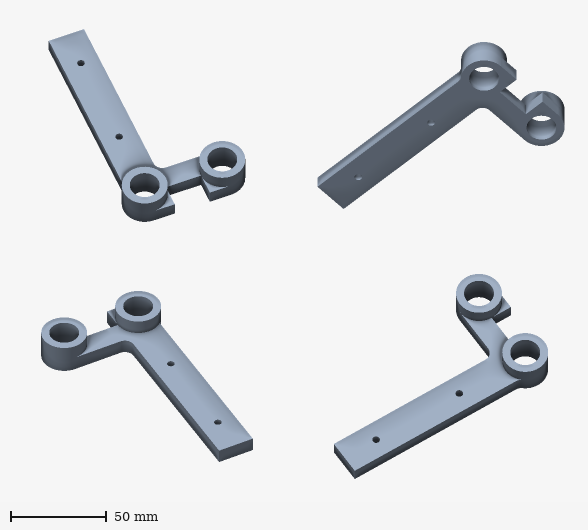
import cadquery as cq
import math

length = 124.0
width = 68.0
ring_height = 16.0
plate_height = ring_height / 2

ring_diameter = 24.0
bore_diameter = 15.6
ring_radius = ring_diameter / 2
ring_spacing = width - ring_diameter
ring_centers = [(0, 0), (0, ring_spacing)]

bar_width = 20.0
bar_left = ring_radius - length
bar_top = ring_radius
bar_bottom = bar_top - bar_width
fillet_radius = 5.0

screw_diameter = 4.0
first_screw_offset = 20.0
screw_spacing = 52.1


def block(x_min, x_max, y_min, y_max):
    """Box of plate height resting on Z = 0."""
    return cq.Workplane("XY").box(
        x_max - x_min, y_max - y_min, plate_height, centered=False
    ).translate((x_min, y_min, 0))


def cylinders(centers, diameter, height):
    """Upright cylinders resting on Z = 0."""
    return cq.Workplane("XY").pushPoints(centers).circle(diameter / 2).extrude(height)


base = block(bar_left, 0, bar_bottom, bar_top)
base = base.union(block(-ring_radius, 0, 0, ring_spacing))
base = base.union(cylinders(ring_centers, ring_diameter, plate_height))
base = base.union(block(0, ring_radius, 0, ring_radius))
base = base.union(block(0, ring_radius, ring_spacing - ring_radius, ring_spacing))

bar_ring_x = -math.sqrt(ring_radius**2 - bar_bottom**2)
inside_corners = [(-ring_radius, bar_top), (bar_ring_x, bar_bottom)]
for x, y in inside_corners:
    corner = cq.selectors.NearestToPointSelector((x, y, plate_height / 2))
    base = base.edges("|Z").edges(corner).fillet(fillet_radius)

part = base.union(cylinders(ring_centers, ring_diameter, ring_height))
part = part.cut(cylinders(ring_centers, bore_diameter, ring_height))

screw_x = bar_left + first_screw_offset
screw_y = (bar_top + bar_bottom) / 2
screw_centers = [(screw_x, screw_y), (screw_x + screw_spacing, screw_y)]
result = part.cut(cylinders(screw_centers, screw_diameter, plate_height))